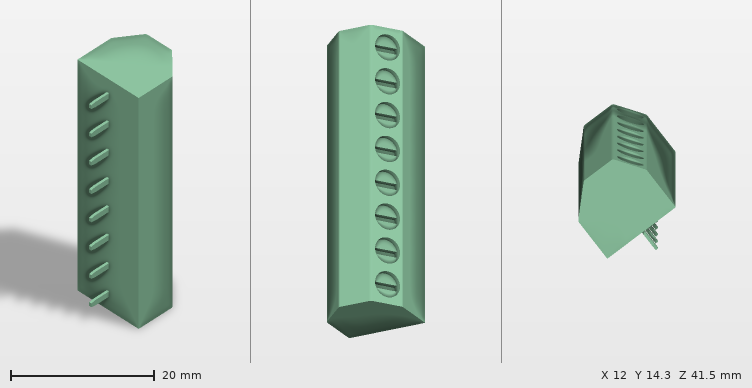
import cadquery as cq
import math

length = 41.55
width = 12.0
overall_depth = 14.3
pin_length = 3.55
body_depth = overall_depth - pin_length
screw_bevel_x = 2.83
wire_bevel_x = 4.1
bevel_y = 4.07
bevel_edge_radius = 0.5

pole_count = 8
end_margin = 2.95
pitch = (length - 2 * end_margin) / (pole_count - 1)

screw_diameter = 3.9
screw_recess = 0.87
slot_width = 0.87
slot_depth = 0.85
screw_offset = 0.12

pin_thickness = 0.4
pin_height = 0.95
tip_length = 0.85
tip_height = 0.65

front_y = -body_depth / 2
back_y = body_depth / 2
left_x = -width / 2
right_x = width / 2
shoulder_y = back_y - bevel_y
pole_heights = [(i - (pole_count - 1) / 2) * pitch for i in range(pole_count)]


def make_housing():
    """Prism with two bevelled back corners, the bevel edges slightly rounded."""
    outline = [
        (left_x, front_y),
        (right_x, front_y),
        (right_x, shoulder_y),
        (right_x - wire_bevel_x, back_y),
        (left_x + screw_bevel_x, back_y),
        (left_x, shoulder_y),
    ]
    block = cq.Workplane("XY").polyline(outline).close().extrude(length / 2, both=True)
    bevel_edges = block.edges("|Z and (not <Y)")
    return bevel_edges.fillet(bevel_edge_radius)


def make_screw_pocket(z):
    """Round recess square to the screw bevel, with a driver slot across its floor."""
    bevel_length = math.hypot(screw_bevel_x, bevel_y)
    along_x = screw_bevel_x / bevel_length
    along_y = bevel_y / bevel_length
    plane = cq.Plane(
        origin=(
            left_x + screw_bevel_x / 2 - screw_offset * along_x,
            back_y - bevel_y / 2 - screw_offset * along_y,
            z,
        ),
        xDir=(along_x, along_y, 0),
        normal=(-along_y, along_x, 0),
    )
    recess = cq.Workplane(plane).circle(screw_diameter / 2).extrude(-screw_recess)
    total_depth = screw_recess + slot_depth
    column = cq.Workplane(plane).circle(screw_diameter / 2).extrude(-total_depth)
    blade = cq.Workplane(plane).rect(screw_diameter, slot_width).extrude(-total_depth)
    return recess.union(column.intersect(blade))


def make_pin(z):
    """Flat pin standing out of the front face."""
    tip_y = front_y - pin_length
    taper_y = tip_y + tip_length
    profile = [
        (front_y, -pin_height / 2),
        (taper_y, -pin_height / 2),
        (tip_y, -tip_height / 2),
        (tip_y, tip_height / 2),
        (taper_y, pin_height / 2),
        (front_y, pin_height / 2),
    ]
    pin = cq.Workplane("YZ").polyline(profile).close().extrude(pin_thickness / 2, both=True)
    return pin.translate((0, 0, z))


result = make_housing()
for height in pole_heights:
    result = result.cut(make_screw_pocket(height))
    result = result.union(make_pin(height))